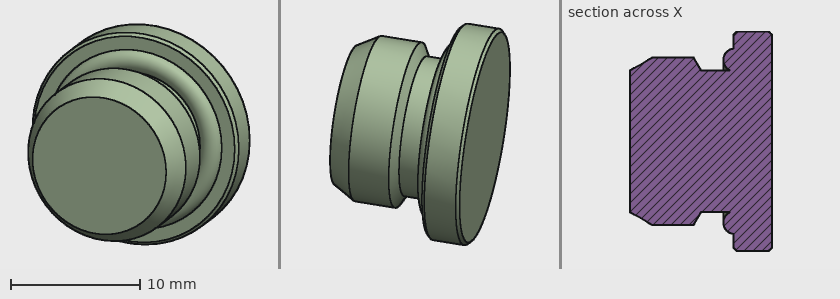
import cadquery as cq
import math

total_length = 11.0
flange_diameter = 17.0
flange_thickness = 3.0
flange_chamfer = 0.25

neck_diameter = 11.0
neck_end = 5.5
head_diameter = 13.0
taper_angle = 30.0

ring_inner_diameter = 10.82
ring_section_diameter = 1.78
ring_sunk_depth = 1.0

flange_radius = flange_diameter / 2
neck_radius = neck_diameter / 2
head_radius = head_diameter / 2
head_step = head_radius - neck_radius
shoulder_length = head_step * math.tan(math.radians(taper_angle))
nose_length = head_step / math.tan(math.radians(taper_angle))
ring_section_radius = ring_section_diameter / 2
ring_centre_radius = ring_inner_diameter / 2 + ring_section_radius
ring_centre_depth = flange_thickness - ring_sunk_depth + ring_section_radius


def make_body():
    """Flange, neck and tapered head as one turned profile, running toward -Y."""
    profile = [
        (0, 0),
        (flange_radius - flange_chamfer, 0),
        (flange_radius, -flange_chamfer),
        (flange_radius, -flange_thickness + flange_chamfer),
        (flange_radius - flange_chamfer, -flange_thickness),
        (neck_radius, -flange_thickness),
        (neck_radius, -neck_end),
        (head_radius, -neck_end - shoulder_length),
        (head_radius, -total_length + nose_length),
        (neck_radius, -total_length),
        (0, -total_length),
    ]
    return cq.Workplane("XY").polyline(profile).close().revolve(360, (0, 0), (0, 1))


def make_sealing_ring():
    """Round-section ring around the neck at the flange face."""
    section = cq.Workplane("XY").center(ring_centre_radius, -ring_centre_depth).circle(ring_section_radius)
    return section.revolve(360, (-ring_centre_radius, 0), (-ring_centre_radius, 1))


result = make_body().union(make_sealing_ring())